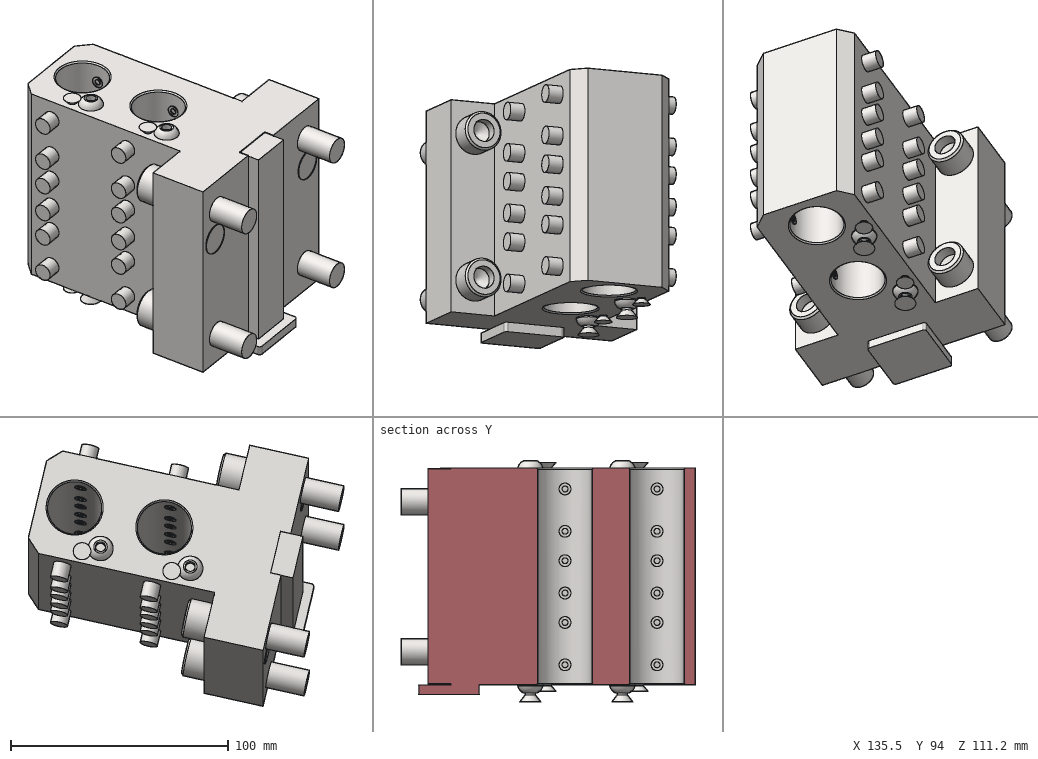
import cadquery as cq

total_length = 135.5
body_height = 100.0

nose_width = 50.1
nose_chamfer = 6.2
flange_width = 94.0
flange_front = 89.5
flange_back = 117.5

first_bore_x = 17.6
bore_spacing = 42.4
bore_positions = (first_bore_x, first_bore_x + bore_spacing)
bore_radius = 12.5
bore_chamfer = 0.7

pin_radius = 4.0
pin_reach = 32.2
pin_tip_radius = 2.7
pin_tip_reach = 11.9
pin_tip_length = 4.0
pin_tip_hole_radius = 1.4
pin_tip_hole_depth = 0.8
pin_rows_mid_z = 49.7
pin_row_offsets = (7.5, 21.0, 40.5)

bolt_y = 35.6
bolt_low_z = 15.2
bolt_rise = 69.1
bolt_shank_radius = 6.1
bolt_head_radius = 9.1
bolt_head_length = 11.4
bolt_head_chamfer = 1.0
socket_radius = 5.1
socket_depth = 5.4
socket_cone_depth = 3.0

nozzle_offset_x = 16.0
nozzle_y = -16.4
nozzle_base_radius = 5.8
nozzle_shoulder_radius = 4.9
nozzle_tip_radius = 3.1
nozzle_height = 3.3
nozzle_shoulder_height = 1.9
nozzle_hole_radius = 2.3
nozzle_hole_depth = 2.7
plug_offset_x = 8.1
plug_y = -20.2
plug_base_radius = 1.9
plug_top_radius = 4.0
plug_height = 2.5
bottom_drop = 0.5
spout_radius = 2.5
spout_neck_end = 4.7
spout_end = 7.9
spout_end_radius = 4.9

key_width = 20.3
key_front = 112.6
key_back = 123.2
key_end_gap = 0.4
stop_front = 99.5
stop_back = 127.5
stop_width = 30.1
stop_thickness = 4.5
stop_corner_radius = 1.4

seal_radius = 7.3
seal_y = 37.4
seal_z = 68.7
seal_thickness = 0.4


def box(x_min, x_max, width, z_min, z_max):
    """Box between X and Z limits, centred on Y = 0."""
    size = (x_max - x_min, width, z_max - z_min)
    return cq.Workplane("XY").box(*size, centered=(False, True, False)).translate((x_min, 0, z_min))


def make_body():
    """T-shaped block with two chamfered bores and an open key slot in its back."""
    nose = box(0, flange_back, nose_width, 0, body_height).edges("|Z and <X").chamfer(nose_chamfer)
    body = nose.union(box(flange_front, flange_back, flange_width, 0, body_height))
    centers = [(x, 0) for x in bore_positions]
    bores = cq.Workplane("XY").pushPoints(centers).circle(bore_radius).extrude(body_height)
    body = body.cut(bores)
    body = body.faces("<Z or >Z").edges("%CIRCLE").chamfer(bore_chamfer)
    return body.cut(box(key_front, flange_back, key_width, 0, body_height))


def make_pin():
    """Clamping screw along +Y with a small hollow point towards the bore."""
    body_start = pin_tip_reach + pin_tip_length
    profile = [
        (0, pin_tip_reach + pin_tip_hole_depth),
        (pin_tip_hole_radius, pin_tip_reach + pin_tip_hole_depth),
        (pin_tip_hole_radius, pin_tip_reach),
        (pin_tip_radius, pin_tip_reach),
        (pin_tip_radius, body_start),
        (pin_radius, body_start),
        (pin_radius, pin_reach),
        (0, pin_reach),
    ]
    return cq.Workplane("XY").polyline(profile).close().revolve(360, (0, 0), (0, 1))


def make_bolt():
    """Socket-head bolt along X, its axis on Y = Z = 0."""
    head_front = flange_front - bolt_head_length
    socket_end = head_front + socket_depth
    profile = [
        (socket_end + socket_cone_depth, 0),
        (socket_end, socket_radius),
        (head_front, socket_radius),
        (head_front, bolt_head_radius - bolt_head_chamfer),
        (head_front + bolt_head_chamfer, bolt_head_radius),
        (flange_front, bolt_head_radius),
        (flange_front, bolt_shank_radius),
        (total_length, bolt_shank_radius),
        (total_length, 0),
    ]
    return cq.Workplane("XY").polyline(profile).close().revolve(360, (0, 0), (1, 0))


def make_nozzle():
    """Rounded nozzle rising from Z = 0, without its hole."""
    return (
        cq.Workplane("XZ")
        .lineTo(nozzle_base_radius, 0)
        .threePointArc((nozzle_shoulder_radius, nozzle_shoulder_height), (nozzle_tip_radius, nozzle_height))
        .lineTo(0, nozzle_height)
        .close()
        .revolve(360, (0, 0), (0, 1))
    )


def make_spout():
    """Neck and flared outlet that extend a nozzle, pointing up."""
    profile = [
        (0, 0),
        (spout_radius, 0),
        (spout_radius, spout_neck_end),
        (spout_end_radius, spout_end),
        (0, spout_end),
    ]
    return cq.Workplane("XZ").polyline(profile).close().revolve(360, (0, 0), (0, 1))


def make_plug():
    """Countersunk plug head that widens upwards."""
    profile = [(0, 0), (plug_base_radius, 0), (plug_top_radius, plug_height), (0, plug_height)]
    return cq.Workplane("XZ").polyline(profile).close().revolve(360, (0, 0), (0, 1))


def collar(radius, height):
    """Plain upright cylinder standing on Z = 0."""
    return cq.Workplane("XY").circle(radius).extrude(height)


result = make_body()

pin = make_pin()
for x in bore_positions:
    for offset in pin_row_offsets:
        for z in (pin_rows_mid_z - offset, pin_rows_mid_z + offset):
            result = result.union(pin.translate((x, 0, z)))
            result = result.union(pin.mirror("XZ").translate((x, 0, z)))

bolt = make_bolt()
seal = cq.Workplane("YZ").circle(seal_radius).extrude(seal_thickness)
for side in (-1, 1):
    for z in (bolt_low_z, bolt_low_z + bolt_rise):
        result = result.union(bolt.translate((0, side * bolt_y, z)))
    result = result.union(seal.translate((flange_back, side * seal_y, seal_z)))

nozzle_hole = collar(nozzle_hole_radius, nozzle_hole_depth)
top_nozzle = make_nozzle().cut(nozzle_hole.translate((0, 0, nozzle_height - nozzle_hole_depth)))
low_nozzle = make_nozzle().translate((0, 0, bottom_drop)).union(collar(nozzle_base_radius, bottom_drop))
low_nozzle = low_nozzle.union(make_spout()).mirror("XY")
top_plug = make_plug()
low_plug = make_plug().translate((0, 0, bottom_drop)).union(collar(plug_base_radius, bottom_drop)).mirror("XY")
for x in bore_positions:
    nozzle_x = x + nozzle_offset_x
    plug_x = x + plug_offset_x
    result = result.union(top_plug.translate((plug_x, plug_y, body_height)))
    result = result.union(top_nozzle.translate((nozzle_x, nozzle_y, body_height)))
    result = result.union(low_plug.translate((plug_x, plug_y, 0)))
    result = result.union(low_nozzle.translate((nozzle_x, nozzle_y, 0)))

result = result.union(box(key_front, key_back, key_width, key_end_gap, body_height - key_end_gap))
stop = box(stop_front, stop_back, stop_width, -stop_thickness, 0).edges("|Z").fillet(stop_corner_radius)
result = result.union(stop)